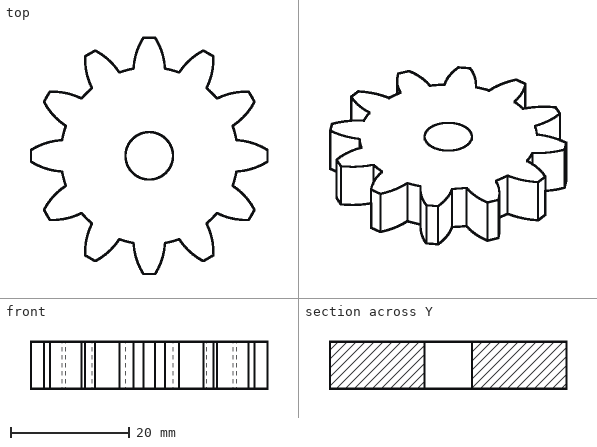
import cadquery as cq
import math

tooth_count = 12
tip_radius = 20.0
thickness = 8.0
bore_diameter = 8.0

root_radius = 15.0
root_half_width = 2.7
tip_half_width = 1.0
flank_mid_x = 17.4
flank_mid_half_width = 2.2
root_x = math.sqrt(root_radius**2 - root_half_width**2)


def rotated(x, y, angle):
    """Turn a point about the gear axis."""
    return (
        x * math.cos(angle) - y * math.sin(angle),
        x * math.sin(angle) + y * math.cos(angle),
    )


def gear_outline():
    """Flat-topped teeth with bulging flanks, joined by root arcs."""
    pitch_angle = 2 * math.pi / tooth_count
    outline = cq.Workplane("XY").moveTo(root_x, -root_half_width)
    for tooth in range(tooth_count):
        angle = tooth * pitch_angle
        next_angle = angle + pitch_angle
        outline = outline.threePointArc(
            rotated(flank_mid_x, -flank_mid_half_width, angle),
            rotated(tip_radius, -tip_half_width, angle),
        )
        outline = outline.lineTo(*rotated(tip_radius, tip_half_width, angle))
        outline = outline.threePointArc(
            rotated(flank_mid_x, flank_mid_half_width, angle),
            rotated(root_x, root_half_width, angle),
        )
        outline = outline.threePointArc(
            rotated(root_radius, 0, angle + pitch_angle / 2),
            rotated(root_x, -root_half_width, next_angle),
        )
    return outline.close()


gear_blank = gear_outline().extrude(thickness)
result = gear_blank.faces(">Z").workplane().hole(bore_diameter)